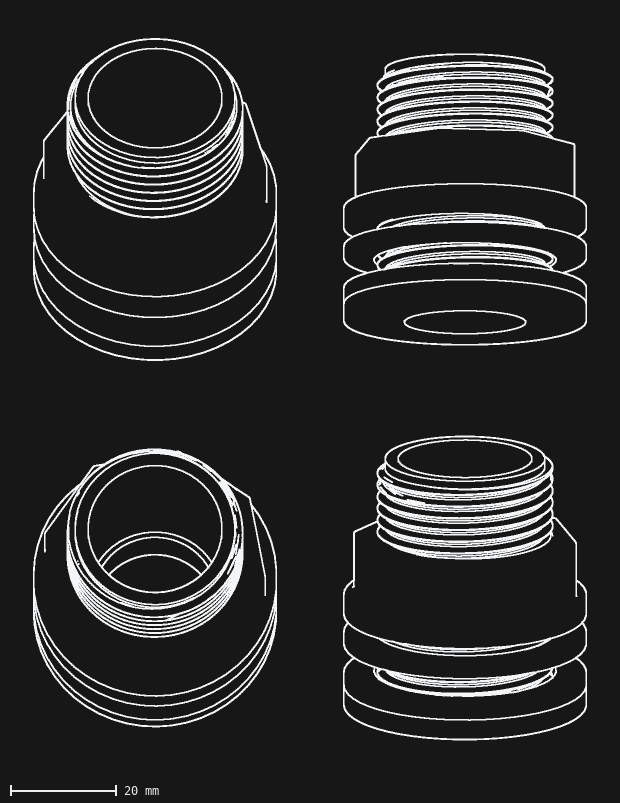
import cadquery as cq
import math

TOTAL_HEIGHT = 48.8
DISC_DIAMETER = 46.0

FLANGE_HEIGHT = 3.85
FLANGE_EDGE_FILLET = 0.4
BORE_TOP_DIAMETER = 25.4
BORE_LOWER_DIAMETER = 25.1
BORE_LEDGE_HEIGHT = 10.25
INLET_DIAMETER = 23.0

THREAD_ROOT_DIAMETER = 30.3
THREAD_CREST_DIAMETER = 33.25
LOWEST_CREST = 7.35
HIGHEST_CREST = 46.6
TURNS_BETWEEN_CRESTS = 17
THREAD_PITCH = (HIGHEST_CREST - LOWEST_CREST) / TURNS_BETWEEN_CRESTS
THREAD_TOP = 47.25
THREAD_CREST_WIDTH = 0.15
THREAD_BASE_WIDTH = 1.85
THREAD_OVERLAP = 0.15
TURNS_BELOW_CREST = 2
SPARE_TURNS = 1

GASKET_THICKNESS = 3.15
WASHER_BOTTOM = 12.0
WASHER_THICKNESS = 3.0
RING_HOLE_DIAMETER = 34.5
RING_EDGE_FILLET = 0.5

NUT_BOTTOM = 17.95
NUT_COLLAR_HEIGHT = 4.4
NUT_HEIGHT = 15.55
NUT_ACROSS_FLATS = 39.55
NUT_SIDES = 8
NUT_OCTAGON_FILLET = 0.5
NUT_CORNER_FILLET = 0.7


def cylinder(diameter, bottom, top):
    """Upright cylinder on the Z axis."""
    return cq.Workplane("XY").workplane(offset=bottom).circle(diameter / 2).extrude(top - bottom)


def thread_ridge():
    """Helical ridge with a trapezoidal section, cut flat at both ends."""
    root_radius = THREAD_ROOT_DIAMETER / 2
    crest_radius = THREAD_CREST_DIAMETER / 2
    inner_radius = root_radius - THREAD_OVERLAP
    flank_slope = (THREAD_BASE_WIDTH - THREAD_CREST_WIDTH) / 2 / (crest_radius - root_radius)
    half_inner = THREAD_BASE_WIDTH / 2 + flank_slope * THREAD_OVERLAP
    half_crest = THREAD_CREST_WIDTH / 2

    start = LOWEST_CREST - TURNS_BELOW_CREST * THREAD_PITCH
    turns = math.ceil((THREAD_TOP - start) / THREAD_PITCH) + SPARE_TURNS
    helix = cq.Wire.makeHelix(THREAD_PITCH, turns * THREAD_PITCH, root_radius)
    ridge = (
        cq.Workplane("XZ")
        .polyline([
            (inner_radius, -half_inner),
            (crest_radius, -half_crest),
            (crest_radius, half_crest),
            (inner_radius, half_inner),
        ])
        .close()
        .sweep(cq.Workplane(obj=helix), isFrenet=True)
        .rotate((0, 0, 0), (0, 0, 1), 180)
        .translate((0, 0, start))
    )
    return ridge.intersect(cylinder(DISC_DIAMETER, FLANGE_HEIGHT, THREAD_TOP))


def make_threaded_core():
    """Solid threaded rod: the outer shape of the tube, and the shape of the thread in the nut."""
    return cylinder(THREAD_ROOT_DIAMETER, FLANGE_HEIGHT, TOTAL_HEIGHT).union(thread_ridge())


def make_fitting(threaded_core):
    """Flange and threaded tube, with a tapered bore above a narrower inlet."""
    flange = cylinder(DISC_DIAMETER, 0, FLANGE_HEIGHT).edges().fillet(FLANGE_EDGE_FILLET)
    bore = (
        cq.Workplane("XY")
        .workplane(offset=BORE_LEDGE_HEIGHT)
        .circle(BORE_LOWER_DIAMETER / 2)
        .workplane(offset=TOTAL_HEIGHT - BORE_LEDGE_HEIGHT)
        .circle(BORE_TOP_DIAMETER / 2)
        .loft()
    )
    inlet = cylinder(INLET_DIAMETER, 0, BORE_LEDGE_HEIGHT)
    return flange.union(threaded_core).cut(bore).cut(inlet)


def make_ring(bottom, thickness):
    """Flat ring with rounded outer edges, loose around the thread."""
    ring = cylinder(DISC_DIAMETER, bottom, bottom + thickness).edges().fillet(RING_EDGE_FILLET)
    return ring.cut(cylinder(RING_HOLE_DIAMETER, bottom, bottom + thickness))


def make_nut(threaded_core):
    """Octagonal nut on a round collar, with a thread that matches the fitting."""
    collar_top = NUT_BOTTOM + NUT_COLLAR_HEIGHT
    collar = cylinder(DISC_DIAMETER, NUT_BOTTOM, collar_top).edges().fillet(FLANGE_EDGE_FILLET)
    octagon = (
        cq.Workplane("XY")
        .workplane(offset=NUT_BOTTOM + FLANGE_EDGE_FILLET)
        .polygon(NUT_SIDES, NUT_ACROSS_FLATS, circumscribed=True)
        .extrude(NUT_HEIGHT - FLANGE_EDGE_FILLET)
        .edges("|Z")
        .fillet(NUT_CORNER_FILLET)
        .faces(">Z")
        .edges()
        .fillet(NUT_OCTAGON_FILLET)
    )
    foot_reach = NUT_ACROSS_FLATS / 2 + NUT_OCTAGON_FILLET
    octagon_foot = cq.selectors.BoxSelector(
        (-foot_reach, -foot_reach, collar_top - NUT_OCTAGON_FILLET / 2),
        (foot_reach, foot_reach, collar_top + NUT_OCTAGON_FILLET / 2),
        boundingbox=True,
    )
    blank = collar.union(octagon).edges(octagon_foot).fillet(NUT_OCTAGON_FILLET)
    stretch = cylinder(DISC_DIAMETER, NUT_BOTTOM - THREAD_PITCH, NUT_BOTTOM + NUT_HEIGHT + THREAD_PITCH)
    return blank.cut(threaded_core.intersect(stretch))


threaded_core = make_threaded_core()
fitting = make_fitting(threaded_core)
gasket = make_ring(FLANGE_HEIGHT, GASKET_THICKNESS)
washer = make_ring(WASHER_BOTTOM, WASHER_THICKNESS)
nut = make_nut(threaded_core)

result = cq.Compound.makeCompound([fitting.val(), gasket.val(), washer.val(), nut.val()])